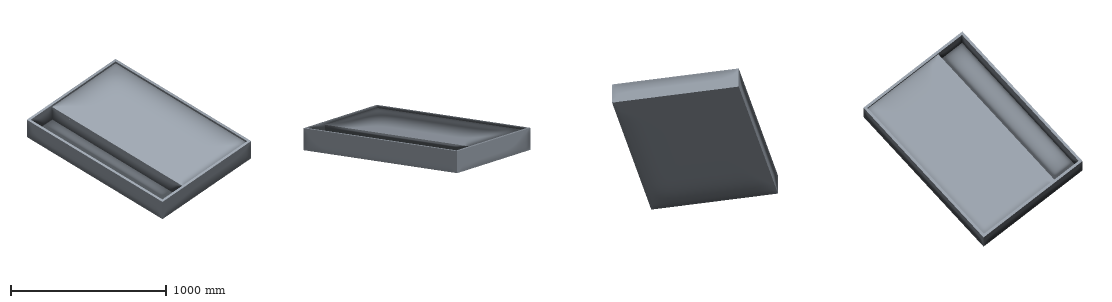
import cadquery as cq

length = 1200.0
width = 835.0
height = 145.0
wall = 18.0
floor_thickness = 22.0

lid_depth = 599.0
lid_thickness = 20.0
lid_recess = 15.0
middle_lid_length = 401.0

divider_thickness = 18.0
lid_overhang = 2.0

inner_length = length - 2 * wall
inner_width = width - 2 * wall
inner_back = inner_width / 2
lid_front = inner_back - lid_depth
lid_bottom = height - lid_recess - lid_thickness
side_lid_length = (inner_length - middle_lid_length) / 2
side_lid_offset = (middle_lid_length + side_lid_length) / 2


def block(size_x, size_y, size_z, center_x, front_y, bottom_z):
    """Box placed by its X centre, its front face and its underside."""
    return (
        cq.Workplane("XY")
        .box(size_x, size_y, size_z, centered=(True, False, False))
        .translate((center_x, front_y, bottom_z))
    )


def make_tray():
    outer = block(length, width, height, 0, -width / 2, 0)
    cavity = block(
        inner_length, inner_width, height - floor_thickness, 0, -inner_width / 2, floor_thickness
    )
    return outer.cut(cavity)


def make_divider():
    divider_height = lid_bottom - floor_thickness
    divider_front = lid_front + lid_overhang
    return block(
        inner_length, divider_thickness, divider_height, 0, divider_front, floor_thickness
    )


def make_lid(lid_length, center_x):
    return block(lid_length, lid_depth, lid_thickness, center_x, lid_front, lid_bottom)


tray = make_tray()
divider = make_divider()
lid_layout = [
    (side_lid_length, -side_lid_offset),
    (middle_lid_length, 0),
    (side_lid_length, side_lid_offset),
]
lids = [make_lid(lid_length, center_x) for lid_length, center_x in lid_layout]

result = cq.Compound.makeCompound(
    [tray.val(), divider.val(), *[lid.val() for lid in lids]]
)